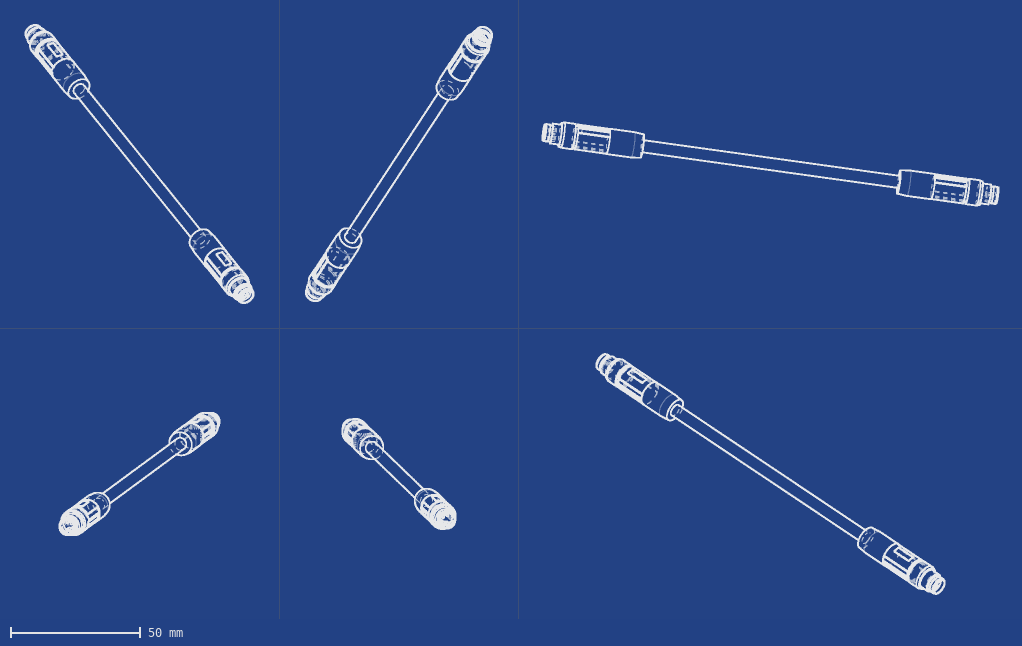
import cadquery as cq

overall_length = 177.4
cable_diameter = 4.8
cable_embed = 1.8

tip_radius = 3.2
snap_ring_radius = 3.4
neck_radius = 3.2
collar_radius = 3.9
cone_start_radius = 4.6
body_radius = 5.0
grip_step = 0.09
grip_radius = body_radius - grip_step
groove_radius = 4.3
boot_end_radius = 4.6

tip_chamfer_end = 0.5
snap_ring_end = 2.0
collar_start = 3.0
collar_end = 6.4
cone_end = 7.5
groove_start = 11.7
grip_start = 12.8
grip_end = 25.2
body_end = 34.8
connector_length = 38.5

bore_radius = 2.8
bore_depth = 4.5
pin_radius = 0.5
pin_recess = 1.8
pin_pairs = [(1.2, 1.15), (-0.5, 1.69)]

panel_height = 4.8
panel_depth = 0.4
rib_height = 0.5

pad_start = 14.9
pad_end = 22.5
pad_width = 2.7
pad_root = 4.5


def cylinder_along_x(start, end, radius, y=0, z=0):
    return cq.Workplane("YZ", origin=(start, y, z)).circle(radius).extrude(end - start)


def box_between(x_range, y_range, z_range):
    ranges = (x_range, y_range, z_range)
    lengths = [high - low for low, high in ranges]
    centre = tuple((low + high) / 2 for low, high in ranges)
    return cq.Workplane("XY", origin=centre).box(*lengths)


def turned_shell():
    """Round outer shape of a connector with its mating face at X = 0."""
    outline = [
        (0, 0),
        (0, tip_radius),
        (tip_chamfer_end, snap_ring_radius),
        (snap_ring_end, snap_ring_radius),
        (snap_ring_end, neck_radius),
        (collar_start, neck_radius),
        (collar_start, collar_radius),
        (collar_end, collar_radius),
        (collar_end, cone_start_radius),
        (cone_end, body_radius),
        (groove_start, body_radius),
        (groove_start, groove_radius),
        (grip_start, groove_radius),
        (grip_start, grip_radius),
        (grip_end, grip_radius),
        (grip_end, body_radius),
        (body_end, body_radius),
        (connector_length, boot_end_radius),
        (connector_length, 0),
    ]
    return cq.Workplane("XY").polyline(outline).close().revolve(360, (0, 0, 0), (1, 0, 0))


def grip_panels():
    """Shallow curved strips to remove above and below each side rib."""
    sleeve = cylinder_along_x(grip_start, grip_end, body_radius)
    sleeve = sleeve.cut(cylinder_along_x(grip_start, grip_end, grip_radius - panel_depth))
    grip_range = (grip_start, grip_end)
    across = (-body_radius, body_radius)
    band = box_between(grip_range, across, (-panel_height / 2, panel_height / 2))
    rib = box_between(grip_range, across, (-rib_height / 2, rib_height / 2))
    return sleeve.intersect(band.cut(rib))


def label_pad():
    width_range = (-pad_width / 2, pad_width / 2)
    return box_between((pad_start, pad_end), width_range, (pad_root, body_radius))


def connector():
    body = turned_shell().cut(grip_panels()).union(label_pad())
    body = body.cut(cylinder_along_x(0, bore_depth, bore_radius))
    pin_end = bore_depth + pin_radius
    for y, height in pin_pairs:
        for z in (-height, height):
            body = body.union(cylinder_along_x(pin_recess, pin_end, pin_radius, y, z))
    return body


left_connector = connector().translate((-overall_length / 2, 0, 0))
right_connector = left_connector.mirror("YZ")

cable_half_length = overall_length / 2 - connector_length + cable_embed
cable = cylinder_along_x(-cable_half_length, cable_half_length, cable_diameter / 2)

result = cable.union(left_connector).union(right_connector)